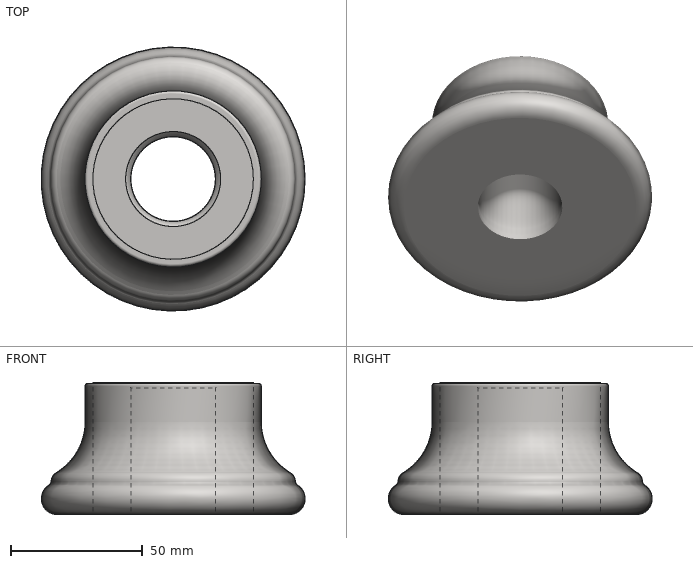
import cadquery as cq
import math

base_radius = 50.0
total_height = 50.0

foot_round = 6.0
foot_height = 10.9
foot_top_radius = base_radius - foot_round + math.sqrt(foot_round**2 - (foot_height - foot_round) ** 2)
bead_bottom_radius = 46.3
bead_bottom_height = 12.7
bead_top_radius = 44.0
bead_top_height = 16.0
bead_round = 4.0
cove_round = 2.0
bell_radius = 42.6
bell_height = 17.0
neck_radius = 66.8 / 2
neck_height = 35.0
lip_round = 1.1
insert_rise = 0.3
housing_height = total_height - insert_rise

insert_radius = 60.8 / 2
bore_radius = 32.0 / 2
bore_chamfer = 2.0

flare_run = bell_radius - neck_radius
flare_drop = neck_height - bell_height
flare_radius = (flare_run**2 + flare_drop**2) / (2 * flare_run)


def make_housing():
    """Turned outer body with a through bore for the insert."""
    foot_center_radius = base_radius - foot_round
    profile = (
        cq.Workplane("XZ")
        .moveTo(insert_radius, 0)
        .lineTo(foot_center_radius, 0)
        .threePointArc((base_radius, foot_round), (foot_top_radius, foot_height))
        .radiusArc((bead_bottom_radius, bead_bottom_height), cove_round)
        .radiusArc((bead_top_radius, bead_top_height), -bead_round)
        .lineTo(bell_radius, bell_height)
        .radiusArc((neck_radius, neck_height), flare_radius)
        .lineTo(neck_radius, housing_height - lip_round)
        .radiusArc((neck_radius - lip_round, housing_height), -lip_round)
        .lineTo(insert_radius, housing_height)
        .close()
    )
    return profile.revolve(360, (0, 0, 0), (0, 1, 0))


def make_insert():
    """Sleeve that fills the housing bore and stands slightly proud of it."""
    sleeve = cq.Workplane("XY").circle(insert_radius).circle(bore_radius).extrude(total_height)
    bore_rim = cq.selectors.RadiusNthSelector(0)
    return sleeve.faces(">Z").edges(bore_rim).chamfer(bore_chamfer)


housing = make_housing()
insert = make_insert()

result = cq.Compound.makeCompound([housing.val(), insert.val()])